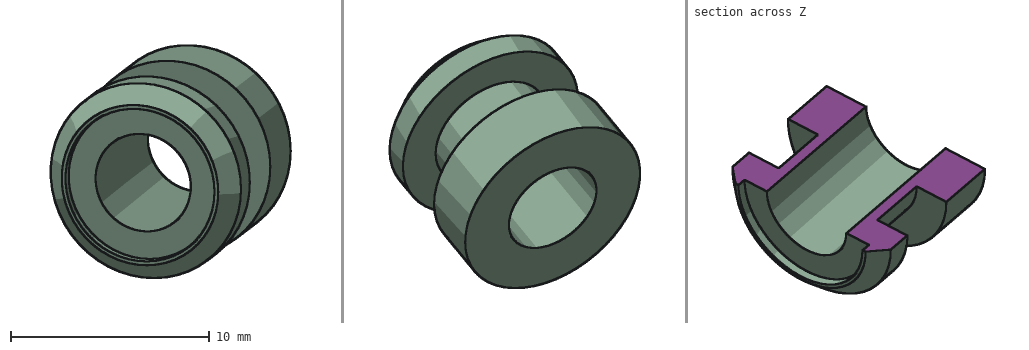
import cadquery as cq

outer_diameter = 10.16
length = 8.64
bore_diameter = outer_diameter / 2

neck_diameter = 6.36
rear_flange_width = 3.18
groove_width = 3.18

chamfer = 0.9
recess_diameter = 7.95
recess_depth = 0.5

outer_radius = outer_diameter / 2
bore_radius = bore_diameter / 2
neck_radius = neck_diameter / 2
recess_radius = recess_diameter / 2
groove_front = length - rear_flange_width - groove_width
groove_rear = length - rear_flange_width

half_section = [
    (bore_radius, recess_depth),
    (recess_radius, recess_depth),
    (recess_radius, 0),
    (outer_radius - chamfer, 0),
    (outer_radius, chamfer),
    (outer_radius, groove_front),
    (neck_radius, groove_front),
    (neck_radius, groove_rear),
    (outer_radius, groove_rear),
    (outer_radius, length),
    (bore_radius, length),
]

result = (
    cq.Workplane("XY")
    .polyline(half_section)
    .close()
    .revolve(360, (0, 0, 0), (0, 1, 0))
)